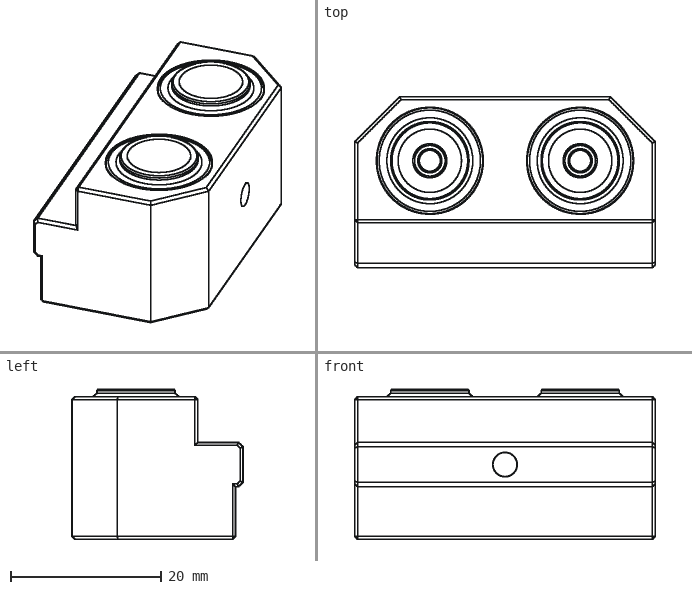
import cadquery as cq

length = 40.0
depth = 22.75
total_height = 20.0
block_height = 19.0
corner_cut = 6.0
edge_chamfer = 0.4

shelf_depth = 6.0
shelf_height = 12.9
lip_overhang = 1.0
lip_underside = 7.0
lip_chamfer = 0.6

cross_hole_diameter = 3.2
cross_hole_height = (shelf_height + lip_underside) / 2

bushing_spacing = 20.0
bushing_y = 14.25
rim_diameter = 10.45
rim_top_diameter = 10.1
rim_height = 0.3
rim_chamfer_height = 0.25
skirt_diameter = 11.45
bore_diameter = 8.45
bore_depth = 12.0

groove_outer_diameter = 14.25
groove_foot_diameter = 14.1
groove_inner_diameter = 13.5

seat_top_diameter = 4.5
seat_diameter = 4.1
seat_depth = 0.8
port_top_diameter = 3.2
port_diameter = 2.8

overlap = 0.4


def stepped_block():
    profile = [
        (lip_overhang, 0),
        (lip_overhang, lip_underside),
        (lip_chamfer, lip_underside),
        (0, lip_underside + lip_chamfer),
        (0, shelf_height - lip_chamfer),
        (lip_chamfer, shelf_height),
        (shelf_depth, shelf_height),
        (shelf_depth, block_height),
        (depth, block_height),
        (depth, 0),
    ]
    block = cq.Workplane("YZ").polyline(profile).close().extrude(length / 2, both=True)
    block = block.edges("|Z").edges(">Y").chamfer(corner_cut)

    end_edges = block.faces("<X or >X").edges()
    top_edges = block.faces(">Z").edges()
    bottom_edges = block.faces("<Z").edges()
    outer_edges = end_edges.add(top_edges).add(bottom_edges)

    corner_start = depth - corner_cut - overlap
    sharp_edges = block.edges("|Z").filter(lambda edge: edge.Center().y > corner_start).vals()
    return outer_edges.filter(
        lambda edge: not any(edge.isSame(sharp) for sharp in sharp_edges)
    ).chamfer(edge_chamfer)


def turned(profile):
    """Solid of revolution about Z from (radius, height) points, closed along the axis."""
    return cq.Workplane("XZ").polyline(profile).close().revolve(360, (0, 0), (0, 1))


def bushing():
    rim_top = total_height - rim_chamfer_height
    rim_bottom = rim_top - rim_height
    skirt_radius = skirt_diameter / 2
    return turned([
        (0, block_height - overlap),
        (skirt_radius, block_height - overlap),
        (skirt_radius, block_height),
        (rim_diameter / 2, rim_bottom),
        (rim_diameter / 2, rim_top),
        (rim_top_diameter / 2, total_height),
        (0, total_height),
    ])


def groove():
    inner_radius = groove_inner_diameter / 2
    foot_radius = groove_foot_diameter / 2
    outer_radius = groove_outer_diameter / 2
    groove_floor = block_height - (foot_radius - inner_radius)
    return turned([
        (inner_radius, block_height),
        (foot_radius, groove_floor),
        (outer_radius, groove_floor),
        (outer_radius, block_height),
    ])


def stepped_bore():
    floor = total_height - bore_depth
    seat_floor = floor - seat_depth
    seat_chamfer = (seat_top_diameter - seat_diameter) / 2
    port_chamfer = (port_top_diameter - port_diameter) / 2
    return turned([
        (0, total_height + overlap),
        (bore_diameter / 2, total_height + overlap),
        (bore_diameter / 2, floor),
        (seat_top_diameter / 2, floor),
        (seat_diameter / 2, floor - seat_chamfer),
        (seat_diameter / 2, seat_floor),
        (port_top_diameter / 2, seat_floor),
        (port_diameter / 2, seat_floor - port_chamfer),
        (port_diameter / 2, -overlap),
        (0, -overlap),
    ])


def cross_hole():
    return (
        cq.Workplane("XZ", origin=(0, -overlap, cross_hole_height))
        .circle(cross_hole_diameter / 2)
        .extrude(-(depth + 2 * overlap))
    )


result = stepped_block().cut(cross_hole())
for x in (-bushing_spacing / 2, bushing_spacing / 2):
    place = (x, bushing_y, 0)
    result = (
        result.union(bushing().translate(place))
        .cut(groove().translate(place))
        .cut(stepped_bore().translate(place))
    )